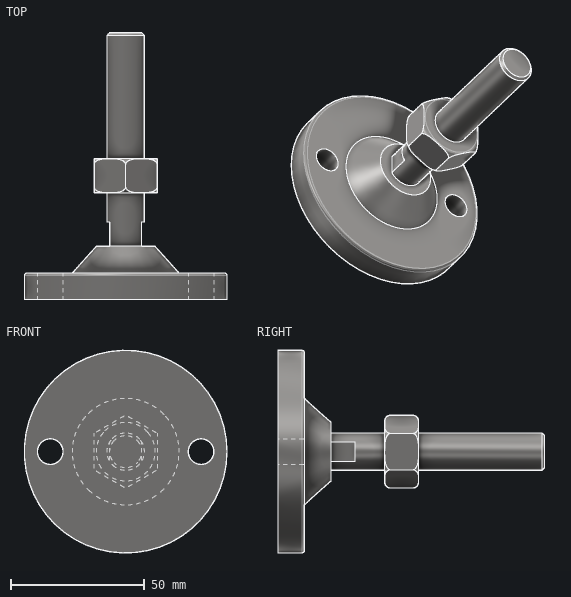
import cadquery as cq
import math

TOTAL_LENGTH = 100.0

BASE_DIAMETER = 76.0
BASE_THICKNESS = 10.0
BASE_EDGE_FILLET = 1.0
HOLE_DIAMETER = 9.5
HOLE_SPACING = 56.5

CONE_BOTTOM_DIAMETER = 40.0
CONE_TOP_DIAMETER = 22.0
CONE_END = 20.0

STEM_DIAMETER = 14.0
STEM_CHAMFER = 1.0
FLATS_WIDTH = 12.0
FLATS_LENGTH = 9.0

NUT_START = 40.0
NUT_THICKNESS = 12.8
NUT_ACROSS_FLATS = 23.7
NUT_ACROSS_CORNERS = NUT_ACROSS_FLATS / math.cos(math.pi / 6)
NUT_CORNER_ROUNDING = 2.3


def section_at(y):
    """Workplane across the axis at height y, extruding towards +Y."""
    return cq.Workplane("XZ", origin=(0, y, 0)).transformed(rotate=(180, 0, 0))


def revolve_about_y(points):
    """Solid of revolution from a (radius, y) outline."""
    return cq.Workplane("XY").polyline(points).close().revolve(360, (0, 0), (0, 1))


def make_base():
    disc = section_at(0).circle(BASE_DIAMETER / 2).extrude(BASE_THICKNESS)
    disc = disc.faces(">Y").edges().fillet(BASE_EDGE_FILLET)
    cone = revolve_about_y([
        (0, 0),
        (CONE_BOTTOM_DIAMETER / 2, 0),
        (CONE_BOTTOM_DIAMETER / 2, BASE_THICKNESS),
        (CONE_TOP_DIAMETER / 2, CONE_END),
        (0, CONE_END),
    ])
    holes = (
        section_at(0)
        .pushPoints([(-HOLE_SPACING / 2, 0), (HOLE_SPACING / 2, 0)])
        .circle(HOLE_DIAMETER / 2)
        .extrude(BASE_THICKNESS)
    )
    return disc.union(cone).cut(holes)


def make_stem():
    stem = section_at(CONE_END).circle(STEM_DIAMETER / 2).extrude(TOTAL_LENGTH - CONE_END)
    stem = stem.faces(">Y").edges().chamfer(STEM_CHAMFER)
    collar = section_at(CONE_END).circle(STEM_DIAMETER / 2).extrude(FLATS_LENGTH)
    kept_core = section_at(CONE_END).rect(FLATS_WIDTH, STEM_DIAMETER).extrude(FLATS_LENGTH)
    return stem.cut(collar.cut(kept_core))


def make_nut():
    hexagon = (
        section_at(NUT_START)
        .transformed(rotate=(0, 0, 90))
        .polygon(6, NUT_ACROSS_CORNERS)
        .extrude(NUT_THICKNESS)
    )
    rounded_envelope = section_at(NUT_START).circle(NUT_ACROSS_CORNERS / 2).extrude(NUT_THICKNESS)
    rounded_envelope = rounded_envelope.faces("<Y or >Y").edges().fillet(NUT_CORNER_ROUNDING)
    return hexagon.intersect(rounded_envelope)


result = make_base().union(make_stem()).union(make_nut())